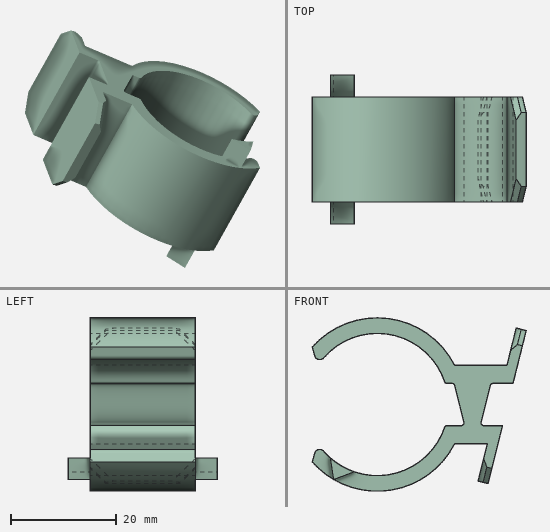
import cadquery as cq
import math

width = 20.0
outer_radius = 16.5
inner_radius = 13.5
mouth_x = -12.38
lip_angle = 16.0
lip_radius = 1.0

flange_inner_z = 4.0
flange_outer_z = 7.5
tilt = 14.0
web_top_left_x = 14.6
web_top_right_x = 21.6
corner_radius = 0.5

tab_thickness = 2.0
tab_face_x = 25.82
tab_tip_z = 14.56
tab_corner_cut = 3.0
tab_corner_bevel = 1.0

pin_length = 4.2
pin_bottom_angle = 239.8
pin_left_angle = 228.6
pin_right_angle = 251.2

slope = math.tan(math.radians(tilt))


def on_circle(radius, angle):
    """Point of the XZ plane at an angle (degrees) from +X."""
    return (radius * math.cos(math.radians(angle)), radius * math.sin(math.radians(angle)))


def circle_x(radius, z):
    """Positive X of the circle at height z."""
    return math.sqrt(radius**2 - z**2)


def tab_face_at(z):
    """X of the outer tab face at height z."""
    return tab_face_x + (z - flange_inner_z) * slope


def extrude_width(outline):
    """Extrude an XZ outline over the full width, centred on Y = 0."""
    return outline.close().extrude(width / 2, both=True)


def fillet_along_y(body, points, radius):
    """Round the edges parallel to Y that pass through the given XZ points."""
    edges = cq.Workplane("XY")
    for x, z in points:
        edges = edges.add(body.edges("|Y").edges(cq.selectors.NearestToPointSelector((x, 0, z))))
    return body.newObject(edges.vals()).fillet(radius)


def make_arm(side):
    """Ring arm and flange above (side = 1) or below (side = -1) the axis."""
    mouth_z = math.sqrt(outer_radius**2 - mouth_x**2)
    lean = math.radians(lip_angle)
    direction = (math.sin(lean), -math.cos(lean))
    along = mouth_x * direction[0] + mouth_z * direction[1]
    reach = -along - math.sqrt(along**2 - outer_radius**2 + inner_radius**2)
    lip = (mouth_x + reach * direction[0], mouth_z + reach * direction[1])
    root = (circle_x(inner_radius, flange_inner_z), flange_inner_z)
    shoulder_x = circle_x(outer_radius, flange_outer_z)

    outline = (
        cq.Workplane("XZ")
        .moveTo(mouth_x, side * mouth_z)
        .threePointArc((0, side * outer_radius), (shoulder_x, side * flange_outer_z))
        .lineTo(tab_face_at(side * flange_outer_z), side * flange_outer_z)
        .lineTo(tab_face_at(side * flange_inner_z), side * flange_inner_z)
        .lineTo(root[0], side * root[1])
        .threePointArc((0, side * inner_radius), (lip[0], side * lip[1]))
    )
    arm = extrude_width(outline)
    arm = fillet_along_y(arm, [(lip[0], side * lip[1])], lip_radius)
    return fillet_along_y(arm, [(root[0], side * root[1])], corner_radius)


def join_with_web(arms):
    """Add the web that narrows downwards between the flanges, with rounded corners."""
    narrowing = 2 * flange_inner_z * slope
    corners = [
        (web_top_left_x, flange_inner_z),
        (web_top_right_x, flange_inner_z),
        (web_top_right_x - narrowing, -flange_inner_z),
        (web_top_left_x + narrowing, -flange_inner_z),
    ]
    web = extrude_width(cq.Workplane("XZ").polyline(corners))
    return fillet_along_y(arms.union(web), corners, corner_radius)


def make_tab(side):
    """Tilted plate rooted in a flange, free corners cut off and bevelled on the -X face."""
    lean = math.radians(tilt)
    root_z = side * (flange_inner_z + flange_outer_z) / 2
    outer_tip_z = side * tab_tip_z - tab_thickness * math.sin(lean)
    height = abs(outer_tip_z - root_z) / math.cos(lean)
    plate = (
        cq.Workplane("XY")
        .box(tab_thickness, width, height, centered=(False, True, False))
        .translate((-tab_thickness, 0, 0))
        .faces(">Z").edges("|X").chamfer(tab_corner_cut)
        .faces("<X").edges("not (|Y or |Z)").chamfer(tab_corner_bevel)
    )
    if side < 0:
        plate = plate.mirror("XY")
    return plate.rotate((0, 0, 0), (0, 1, 0), tilt).translate((tab_face_at(root_z), 0, root_z))


def make_pin(side):
    """Pin on the +Y (side = 1) or -Y (side = -1) end of the lower arm, flush with its inner curve."""
    middle_angle = (pin_left_angle + pin_right_angle) / 2
    outline = (
        cq.Workplane("XZ", origin=(0, side * width / 2, 0))
        .moveTo(*on_circle(outer_radius, pin_bottom_angle))
        .lineTo(*on_circle(inner_radius, pin_left_angle))
        .threePointArc(on_circle(inner_radius, middle_angle), on_circle(inner_radius, pin_right_angle))
        .close()
    )
    return outline.extrude(-side * pin_length)


clip = join_with_web(make_arm(1).union(make_arm(-1)))
for side in (1, -1):
    clip = clip.union(make_tab(side)).union(make_pin(side))
result = clip